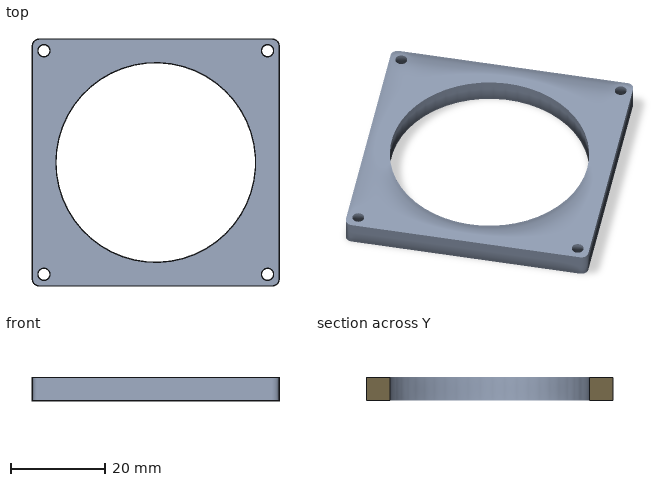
import cadquery as cq

side = 52.4
thickness = 5.0
corner_radius = 1.5

opening_diameter = 42.3
screw_hole_diameter = 2.5
screw_hole_spacing = 47.4

plate = (
    cq.Workplane("XY")
    .box(side, side, thickness)
    .edges("|Z")
    .fillet(corner_radius)
)

plate_with_opening = plate.faces(">Z").workplane().hole(opening_diameter)

result = (
    plate_with_opening.faces(">Z")
    .workplane()
    .rect(screw_hole_spacing, screw_hole_spacing, forConstruction=True)
    .vertices()
    .hole(screw_hole_diameter)
)